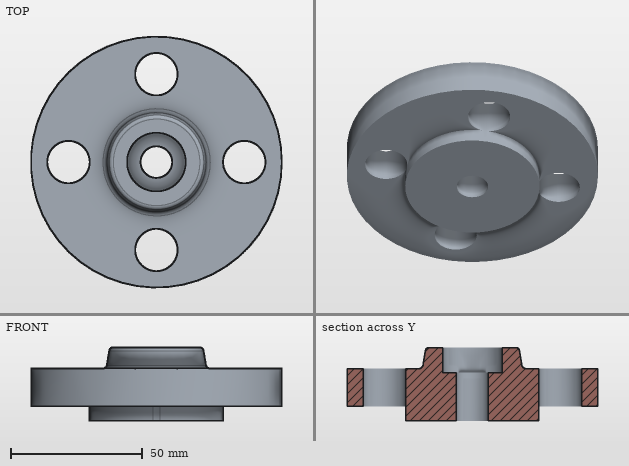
import cadquery as cq

FLANGE_DIAMETER = 95.2
FLANGE_THICKNESS = 14.4

FACE_DIAMETER = 50.9
FACE_HEIGHT = 5.5

HUB_HEIGHT = 8.0
HUB_FOOT_DIAMETER = 38.1
HUB_TIP_DIAMETER = 35.4
HUB_ROUND = 1.5

BORE_DIAMETER = 11.9
SOCKET_DIAMETER = 22.3
SOCKET_DEPTH = 9.5

BOLT_COUNT = 4
BOLT_HOLE_DIAMETER = 16.0
BOLT_CIRCLE_DIAMETER = 66.7

PLATE_TOP_Z = FACE_HEIGHT + FLANGE_THICKNESS
HUB_TOP_Z = PLATE_TOP_Z + HUB_HEIGHT


def disc(diameter, bottom_z, top_z):
    """Round solid on the Z axis between two levels."""
    return cq.Workplane("XY").workplane(offset=bottom_z).circle(diameter / 2).extrude(top_z - bottom_z)


def make_hub():
    """Half profile of the cone turned about Z, with its tip edge rounded."""
    cone = (
        cq.Workplane("XZ")
        .moveTo(0, PLATE_TOP_Z)
        .lineTo(HUB_FOOT_DIAMETER / 2, PLATE_TOP_Z)
        .lineTo(HUB_TIP_DIAMETER / 2, HUB_TOP_Z)
        .lineTo(0, HUB_TOP_Z)
        .close()
        .revolve(360, (0, 0, 0), (0, 1, 0))
    )
    return cone.faces(">Z").edges().fillet(HUB_ROUND)


def round_hub_foot(body):
    """Fillet the corner between the hub and the plate."""
    reach = (HUB_FOOT_DIAMETER + FLANGE_DIAMETER) / 4
    around_foot = cq.selectors.BoxSelector(
        (-reach, -reach, PLATE_TOP_Z - HUB_ROUND),
        (reach, reach, PLATE_TOP_Z + HUB_ROUND),
        boundingbox=True,
    )
    return body.edges(around_foot).fillet(HUB_ROUND)


def make_bolt_holes():
    """Evenly spaced holes through the whole height."""
    return (
        cq.Workplane("XY")
        .polarArray(BOLT_CIRCLE_DIAMETER / 2, 0, 360, BOLT_COUNT)
        .circle(BOLT_HOLE_DIAMETER / 2)
        .extrude(HUB_TOP_Z)
    )


raised_face = disc(FACE_DIAMETER, 0, FACE_HEIGHT)
plate = disc(FLANGE_DIAMETER, FACE_HEIGHT, PLATE_TOP_Z)
body = round_hub_foot(raised_face.union(plate).union(make_hub()))

bore = disc(BORE_DIAMETER, 0, HUB_TOP_Z)
socket = disc(SOCKET_DIAMETER, HUB_TOP_Z - SOCKET_DEPTH, HUB_TOP_Z)

result = body.cut(bore).cut(socket).cut(make_bolt_holes())